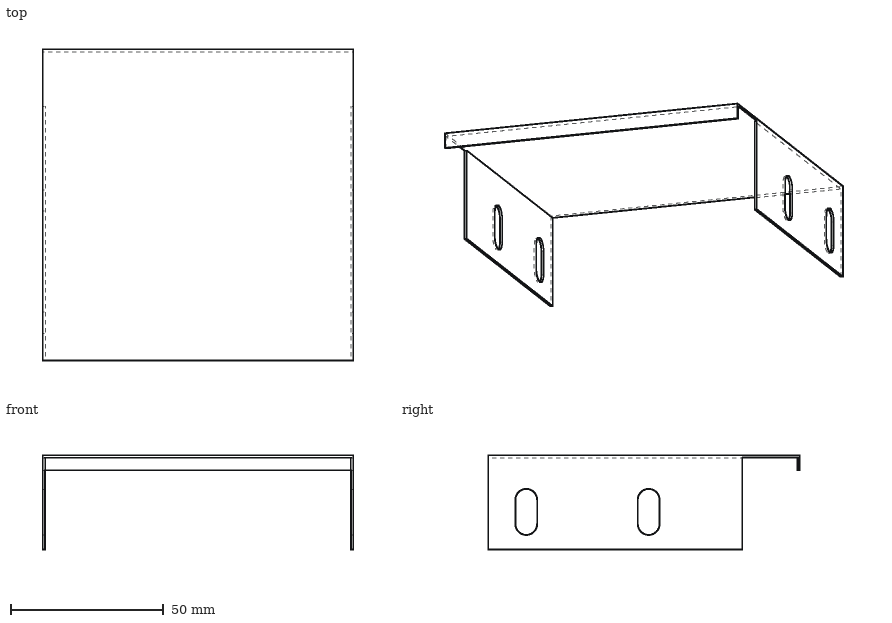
import cadquery as cq

width = 101.6
length = 101.8
height = 30.8
thickness = 0.8

lip_height = 5.0
flange_length = 83.1

slot_width = 7.0
slot_height = 15.0
slot_spacing = 40.0
slot_front_offset = 12.4
slot_bottom_offset = 12.3

front_y = -length / 2
back_y = length / 2
flange_centre_x = (width - thickness) / 2


def make_top_plate():
    return (
        cq.Workplane("XY")
        .box(width, length, thickness, centered=(True, True, False))
        .translate((0, 0, height - thickness))
    )


def make_side_flange(centre_x):
    return (
        cq.Workplane("XY")
        .box(thickness, flange_length, height, centered=(True, False, False))
        .translate((centre_x, front_y, 0))
    )


def make_back_lip():
    return (
        cq.Workplane("XY")
        .box(width, thickness, lip_height, centered=(True, False, False))
        .translate((0, back_y - thickness, height - lip_height))
    )


def make_slots():
    first_slot_y = front_y + slot_front_offset
    slot_centres = [
        (first_slot_y, slot_bottom_offset),
        (first_slot_y + slot_spacing, slot_bottom_offset),
    ]
    return (
        cq.Workplane("YZ")
        .pushPoints(slot_centres)
        .slot2D(slot_height, slot_width, 90)
        .extrude(width / 2, both=True)
    )


result = make_top_plate().union(make_back_lip())
for side in (-1, 1):
    result = result.union(make_side_flange(side * flange_centre_x))
result = result.cut(make_slots())